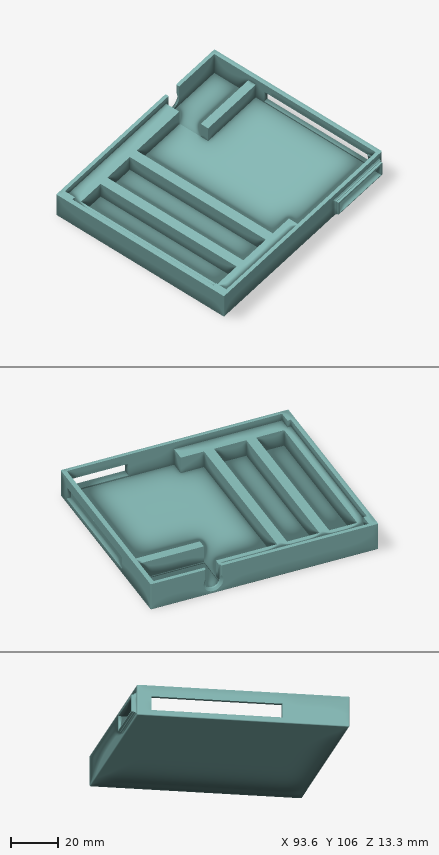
import cadquery as cq

length = 106.0
width = 91.5
height = 13.3
side_wall = 1.7
end_wall = 2.1
floor_z = 1.7
edge_round = 0.4
inner_right = width - side_wall
inner_back = length - end_wall

deck_z = 9.8
deck_left = 8.8
deck_right = 83.0
deck_back = 43.2
left_arm_back = 71.7
right_arm_back = 54.0
pocket_spans = [(5.8, 18.9), (23.4, 38.5)]
front_lip = 3.7
front_recess_left = 7.1
front_recess_right = 84.3

bay_z = 1.3
bay_front = 72.0
bay_right = 19.7
bar_left = 20.3
bar_right = 24.3
bar_z = deck_z

notch_y = 76.8
notch_radius = 3.5
notch_center_z = 5.7
notch_round = 0.6
notch_flare_radius = 4.6
notch_flare_depth = 0.8
selection_margin = 0.1

window_bottom = 2.4
window_top = 8.5
back_window_left = 29.0
back_window_right = 85.5
side_window_front = 75.2
side_window_back = 102.9
collar_front = 73.9
collar_back = 103.9
collar_bottom = 1.7
collar_top = 9.9
collar_reach = 2.1
collar_step = 1.1
collar_inset = 0.3
collar_flare = 0.5

tab_left = 85.9
tab_depth = 0.8
tab_bottom = window_top
tab_top = 9.3


def block(x0, x1, y0, y1, z0, z1):
    """Box between opposite corner coordinates."""
    return cq.Workplane("XY").box(x1 - x0, y1 - y0, z1 - z0, centered=False).translate((x0, y0, z0))


def tray():
    body = block(0, width, 0, length, 0, height)
    body = body.edges("|Z or <Z").fillet(edge_round)
    body = body.cut(block(side_wall, inner_right, front_lip, inner_back, deck_z, height))
    body = body.cut(block(front_recess_left, front_recess_right, end_wall, front_lip, deck_z, height))
    body = body.cut(block(deck_left, deck_right, deck_back, inner_back, floor_z, deck_z))
    body = body.cut(block(side_wall, deck_left, left_arm_back, inner_back, floor_z, deck_z))
    body = body.cut(block(deck_right, inner_right, right_arm_back, inner_back, floor_z, deck_z))
    for front, back in pocket_spans:
        body = body.cut(block(deck_left, deck_right, front, back, floor_z, deck_z))
    return body.cut(block(side_wall, bay_right, bay_front, inner_back, bay_z, floor_z))


def bar():
    return block(bar_left, bar_right, bay_front, inner_back, floor_z, bar_z)


def corner_tab():
    return block(tab_left, inner_right, inner_back - tab_depth, inner_back, tab_bottom, tab_top)


def collar_outline(x, offset):
    """Collar rectangle at position x, grown by offset on every side."""
    return (
        cq.Workplane("YZ", origin=(x, 0, 0))
        .center((collar_front + collar_back) / 2, (collar_bottom + collar_top) / 2)
        .rect(collar_back - collar_front + 2 * offset, collar_top - collar_bottom + 2 * offset)
    )


def collar():
    flare = collar_outline(width, collar_flare).extrude(collar_flare, taper=45)
    base = collar_outline(width, 0).extrude(collar_step)
    tip = collar_outline(width, -collar_inset).extrude(collar_reach)
    return base.union(tip).union(flare)


def cable_notch():
    """Cutter for the U notch, open at the top of the wall."""
    return (
        cq.Workplane("YZ")
        .moveTo(notch_y - notch_radius, height)
        .lineTo(notch_y - notch_radius, notch_center_z)
        .threePointArc((notch_y, notch_center_z - notch_radius), (notch_y + notch_radius, notch_center_z))
        .lineTo(notch_y + notch_radius, height)
        .close()
        .extrude(side_wall)
    )


def notch_flare():
    """Conical cutter that widens the round end of the notch at the outer wall face."""
    return cq.Workplane(
        cq.Solid.makeCone(
            notch_flare_radius,
            notch_radius,
            notch_flare_depth,
            pnt=cq.Vector(0, notch_y, notch_center_z),
            dir=cq.Vector(1, 0, 0),
        )
    )


body = tray().union(bar()).union(corner_tab()).union(collar())
body = body.cut(block(back_window_left, back_window_right, inner_back, length, window_bottom, window_top))
body = body.cut(
    block(inner_right, width + collar_reach, side_window_front, side_window_back, window_bottom, window_top)
)
body = body.cut(cable_notch())
notch_rim = cq.selectors.BoxSelector(
    (-selection_margin, notch_y - notch_radius - selection_margin, bay_z),
    (selection_margin, notch_y + notch_radius + selection_margin, height - selection_margin),
)
result = body.edges(notch_rim).fillet(notch_round).cut(notch_flare())